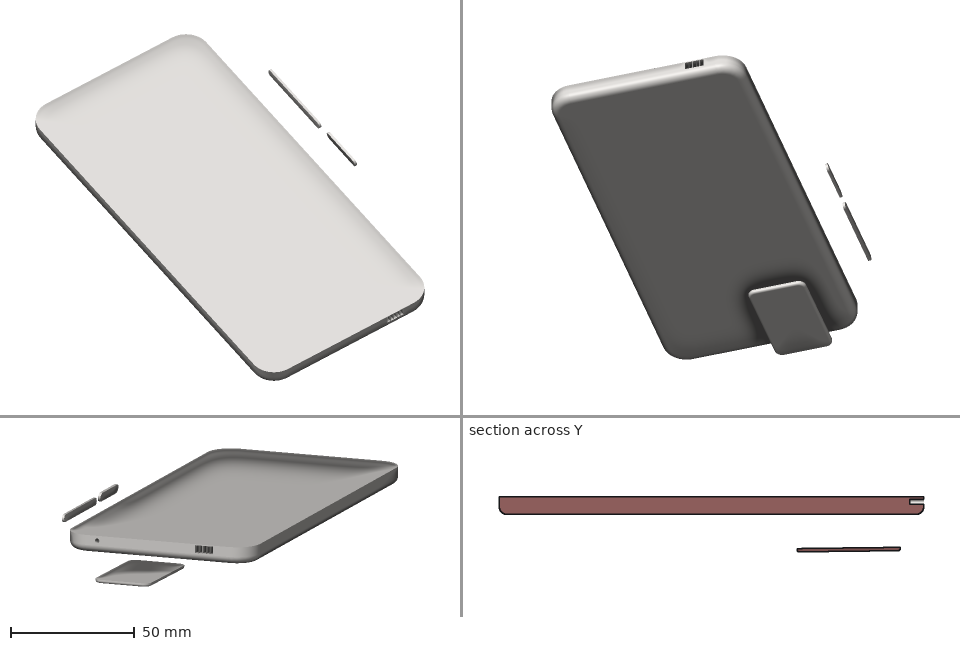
import cadquery as cq

PHONE_LENGTH = 171.9
PHONE_WIDTH = 81.8
PHONE_HEIGHT = 7.2
CORNER_RADIUS = 10.0
BACK_FILLET = 3.1
SIDE_MID_HEIGHT = (PHONE_HEIGHT + BACK_FILLET) / 2

SLOT_COUNT = 5
SLOT_PITCH = 1.58
SLOT_WALL = 0.09
SLOT_HEIGHT = 3.3
SLOT_DEPTH = 5.7
NEAR_GRILLE_Y = -20.5
FAR_GRILLE_Y = 22.0

SOCKET_DIAMETER = 1.9
SOCKET_DEPTH = SLOT_DEPTH
SOCKET_Y = 26.0

PLATE_LENGTH = 42.0
PLATE_WIDTH = 24.2
PLATE_THICKNESS = 1.5
PLATE_CORNER_RADIUS = 3.3
PLATE_FILLET = 1.0
PLATE_TILT = 0.7
PLATE_CENTER = (-55.5, 19.3, -13.4)

BUTTON_THICKNESS = 1.0
LONG_BUTTON_LENGTH = 36.3
LONG_BUTTON_HEIGHT = 3.1
LONG_BUTTON_CENTER = (-32.7, 54.5, 4.6)
LONG_BUTTON_TILT = 0.0
SHORT_BUTTON_LENGTH = 20.1
SHORT_BUTTON_HEIGHT = 3.8
SHORT_BUTTON_CENTER = (0.3, 54.8, 4.8)
SHORT_BUTTON_TILT = 10.0


def grille_cutter(end_x, center_y):
    """Row of slots that run inward from the end face at end_x."""
    return (
        cq.Workplane("XY")
        .rarray(1.7, SLOT_PITCH, 1, SLOT_COUNT)
        .box(2 * SLOT_DEPTH, SLOT_PITCH - SLOT_WALL, SLOT_HEIGHT)
        .translate((end_x, center_y, SIDE_MID_HEIGHT))
    )


def make_phone():
    body = (
        cq.Workplane("XY")
        .box(PHONE_LENGTH, PHONE_WIDTH, PHONE_HEIGHT, centered=(True, True, False))
        .edges("|Z")
        .fillet(CORNER_RADIUS)
        .faces("<Z")
        .edges()
        .fillet(BACK_FILLET)
    )
    socket = (
        cq.Workplane("YZ", origin=(-PHONE_LENGTH / 2, SOCKET_Y, SIDE_MID_HEIGHT))
        .circle(SOCKET_DIAMETER / 2)
        .extrude(SOCKET_DEPTH)
    )
    near_grille = grille_cutter(-PHONE_LENGTH / 2, NEAR_GRILLE_Y)
    far_grille = grille_cutter(PHONE_LENGTH / 2, FAR_GRILLE_Y)
    return body.cut(socket).cut(near_grille).cut(far_grille)


def make_plate():
    """Rounded plate, modelled around the centre of its top face."""
    return (
        cq.Workplane("XY")
        .box(PLATE_LENGTH, PLATE_WIDTH, PLATE_THICKNESS, centered=(True, True, False))
        .translate((0, 0, -PLATE_THICKNESS))
        .edges("|Z")
        .fillet(PLATE_CORNER_RADIUS)
        .faces("<Z")
        .edges()
        .fillet(PLATE_FILLET)
        .rotate((0, 0, 0), (0, 1, 0), PLATE_TILT)
        .translate(PLATE_CENTER)
    )


def make_button(length, height, tilt, center):
    """Round-ended bar, tilted about its long axis so that its lower edge leans outward."""
    return (
        cq.Workplane("XZ")
        .slot2D(length, height)
        .extrude(BUTTON_THICKNESS / 2, both=True)
        .rotate((0, 0, 0), (1, 0, 0), tilt)
        .translate(center)
    )


phone = make_phone()
plate = make_plate()
long_button = make_button(LONG_BUTTON_LENGTH, LONG_BUTTON_HEIGHT, LONG_BUTTON_TILT, LONG_BUTTON_CENTER)
short_button = make_button(SHORT_BUTTON_LENGTH, SHORT_BUTTON_HEIGHT, SHORT_BUTTON_TILT, SHORT_BUTTON_CENTER)

result = cq.Compound.makeCompound([phone.val(), plate.val(), long_button.val(), short_button.val()])